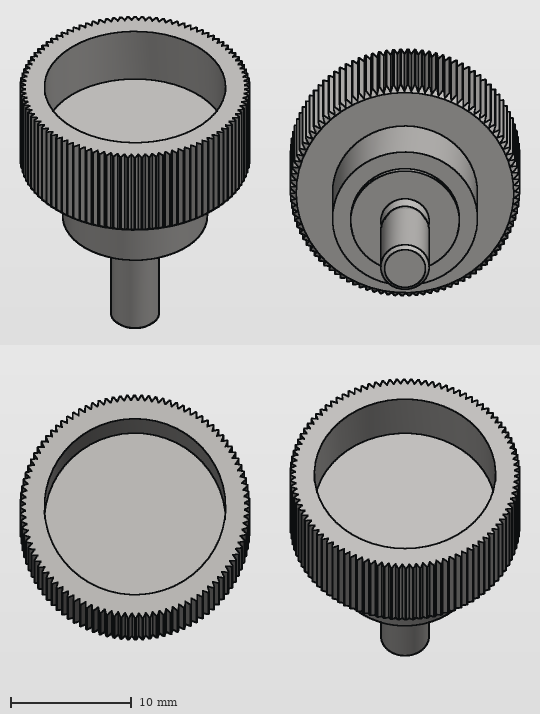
import cadquery as cq
import math

total_height = 24.0

head_diameter = 19.0
groove_depth = 0.43
groove_angle = 60.0
groove_count = 100
head_height = 8.0
head_chamfer = 0.5
cup_diameter = 15.0
cup_depth = 5.0

hub_diameter = 12.0
hub_height = 5.5
shoulder_diameter = 9.0
shoulder_height = 0.5

stud_diameter = 4.0
stud_chamfer = 0.3
neck_diameter = 3.5
neck_height = 2.0

head_bottom = total_height - head_height
hub_bottom = head_bottom - hub_height
stud_top = hub_bottom - shoulder_height
neck_bottom = stud_top - neck_height
neck_middle = stud_top - neck_height / 2

head_radius = head_diameter / 2
root_radius = head_radius - groove_depth


def polar_point(radius, angle):
    return (radius * math.cos(angle), radius * math.sin(angle))


def knurl_outline():
    """V grooves around the rim, the first on the +X axis, with narrow lands between them."""
    pitch = 2 * math.pi / groove_count
    half_width = groove_depth * math.tan(math.radians(groove_angle / 2))
    half_mouth = math.asin(half_width / head_radius)
    points = []
    for groove in range(groove_count):
        middle = groove * pitch
        points.append(polar_point(head_radius, middle - half_mouth))
        points.append(polar_point(root_radius, middle))
        points.append(polar_point(head_radius, middle + half_mouth))
    return points


def chamfered_blank():
    """Plain disc, chamfered at its lower rim, that bounds the knurled rim."""
    return (
        cq.Workplane("XY", origin=(0, 0, head_bottom))
        .circle(head_radius)
        .extrude(head_height)
        .faces("<Z")
        .chamfer(head_chamfer)
    )


def knurled_head():
    teeth = (
        cq.Workplane("XY", origin=(0, 0, head_bottom))
        .polyline(knurl_outline())
        .close()
        .extrude(head_height)
    )
    cup = (
        cq.Workplane("XY", origin=(0, 0, total_height - cup_depth))
        .circle(cup_diameter / 2)
        .extrude(cup_depth)
    )
    return teeth.intersect(chamfered_blank()).cut(cup)


def stem():
    """Hub, shoulder and necked stud, turned as one profile around Z."""
    hub_radius = hub_diameter / 2
    shoulder_radius = shoulder_diameter / 2
    stud_radius = stud_diameter / 2
    return (
        cq.Workplane("XZ")
        .moveTo(0, 0)
        .lineTo(stud_radius - stud_chamfer, 0)
        .lineTo(stud_radius, stud_chamfer)
        .lineTo(stud_radius, neck_bottom)
        .lineTo(neck_diameter / 2, neck_middle)
        .lineTo(stud_radius, stud_top)
        .lineTo(shoulder_radius, stud_top)
        .lineTo(shoulder_radius, hub_bottom)
        .lineTo(hub_radius, hub_bottom)
        .lineTo(hub_radius, head_bottom)
        .lineTo(0, head_bottom)
        .close()
        .revolve(360, (0, 0, 0), (0, 1, 0))
    )


result = knurled_head().union(stem())